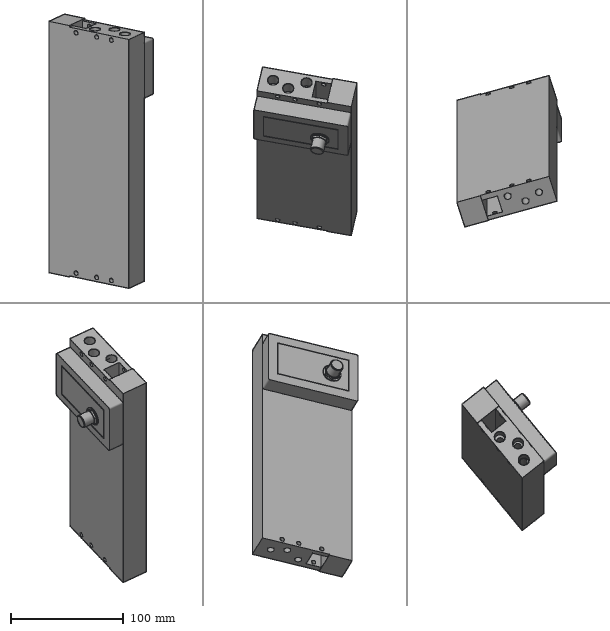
import cadquery as cq
import math

width = 86.0
depth = 25.0
height = 236.0
end_block_width = 22.0
top_step = 1.5
bottom_step = 1.0
corner_chamfer = 0.2
low_top = height - top_step

channel_width = 14.5
channel_front = 5.0
channel_back = 21.0
channel_relief = 0.2

ports = [
    (44.1, 8.0, 1.0, -0.2),
    (59.0, 17.0, 0.0, -0.2),
    (73.9, 11.5, -1.0, 0.5),
]
port_diameter = 9.5
port_rim_chamfer = 0.2
port_depth = 14.2
bore_diameter = 6.1

cross_hole_diameter = 4.0
cross_hole_inset = 4.0
cross_hole_x = [end_block_width + channel_width / 2, 51.2, 67.0]

box_depth = 14.5
box_height = 53.0
box_centre_z = 198.5
box_corner_radius = 2.0
box_back = depth + box_depth

plate_margin = 9.0
plate_thickness = 0.5
plate_width = width - 2 * plate_margin
plate_height = box_height - 2 * plate_margin

connector_x = 25.5
connector_z = 195.6
connector_diameter = 12.0
connector_end = 53.5
connector_chamfer = 0.7
washer_diameter = 17.0
washer_back = 41.0
washer_rim_thickness = 0.5
washer_taper_angle = 20
nut_across_flats = 13.0
nut_back = 43.0


def box_between(x, y, z):
    """Box from (low, high) pairs along each axis."""
    low, high = zip(x, y, z)
    sizes = [b - a for a, b in zip(low, high)]
    return cq.Workplane("XY").box(*sizes, centered=False).translate(low)


def rod(diameter, x, z, start, end):
    """Cylinder along Y from start to end."""
    plane = cq.Workplane("XZ", origin=(x, start, z))
    return plane.circle(diameter / 2).extrude(start - end)


def main_block():
    end_block = box_between((0, end_block_width), (0, depth), (0, height))
    low_block = box_between((end_block_width, width), (0, depth), (bottom_step, low_top))
    end_block = end_block.edges("|Z and <X").chamfer(corner_chamfer)
    low_block = low_block.edges("|Z and >X").chamfer(corner_chamfer)
    return end_block.union(low_block)


def channel():
    across = (end_block_width, end_block_width + channel_width)
    passage = box_between(across, (channel_front, channel_back), (0, height))
    upper_half = box_between(
        across,
        (channel_front, channel_back + channel_relief),
        (height / 2, height),
    )
    return passage.union(upper_half)


def port(x, y, shift_x, shift_y):
    mouth = cq.Workplane("XY", origin=(x, y, low_top))
    counterbore = mouth.circle(port_diameter / 2).extrude(-port_depth)
    rim = mouth.circle(port_diameter / 2 + port_rim_chamfer).workplane(offset=-port_rim_chamfer)
    rim = rim.circle(port_diameter / 2).loft()
    bore = cq.Workplane("XY", origin=(x + shift_x, y + shift_y, 0)).circle(bore_diameter / 2).extrude(low_top)
    return counterbore.union(rim).union(bore)


def back_box():
    half = box_height / 2
    box = box_between((0, width), (depth, box_back), (box_centre_z - half, box_centre_z + half))
    return box.edges("|Y").fillet(box_corner_radius)


def plate():
    half = plate_height / 2
    return box_between(
        (plate_margin, plate_margin + plate_width),
        (box_back, box_back + plate_thickness),
        (box_centre_z - half, box_centre_z + half),
    )


def connector():
    barrel = rod(connector_diameter, connector_x, connector_z, box_back, connector_end)
    barrel = barrel.faces(">Y").chamfer(connector_chamfer)
    rim_front = washer_back - washer_rim_thickness
    rim = rod(washer_diameter, connector_x, connector_z, rim_front, washer_back)
    cone = (
        cq.Workplane("XZ", origin=(connector_x, rim_front, connector_z))
        .circle(washer_diameter / 2)
        .extrude(rim_front - box_back, taper=washer_taper_angle)
    )
    nut_across_corners = nut_across_flats / math.cos(math.radians(30))
    nut = (
        cq.Workplane("XZ", origin=(connector_x, washer_back, connector_z))
        .transformed(rotate=(0, 0, 90))
        .polygon(6, nut_across_corners)
        .extrude(washer_back - nut_back)
    )
    return barrel.union(cone).union(rim).union(nut)


result = main_block().cut(channel())
for x, y, shift_x, shift_y in ports:
    result = result.cut(port(x, y, shift_x, shift_y))
for x in cross_hole_x:
    for z in (bottom_step + cross_hole_inset, low_top - cross_hole_inset):
        result = result.cut(rod(cross_hole_diameter, x, z, 0, depth))
result = result.union(back_box()).union(plate()).union(connector())